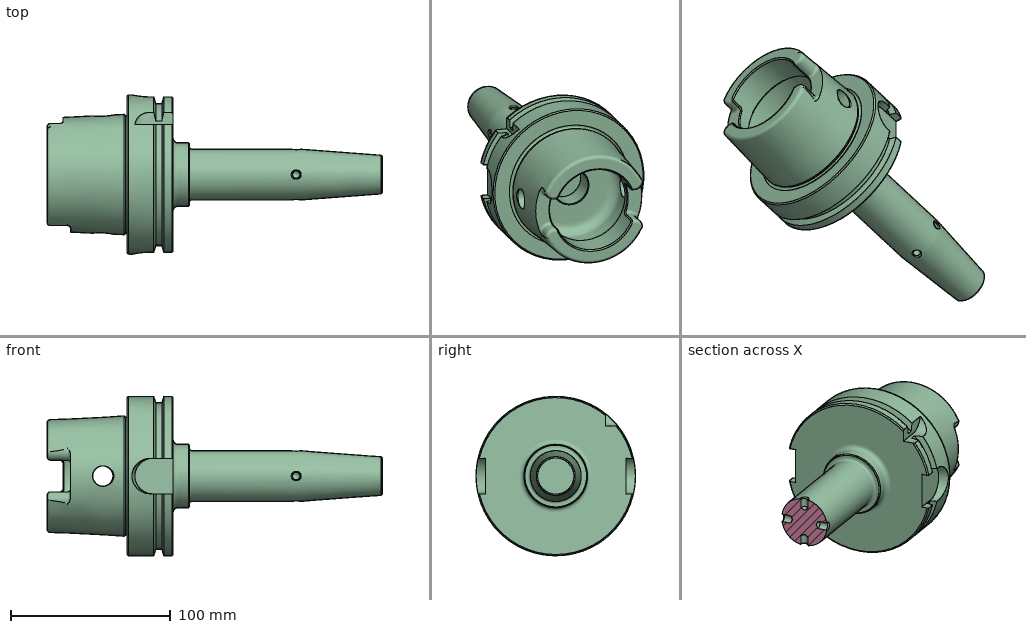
import cadquery as cq
import math


total_length = 210.0
flange_start = 50.0
flange_end = 79.0
neck_end = 89.0
nose_start = 159.0
cavity_depth = 45.8

end_round = 2.0
taper_end = 48.3
taper_large_radius = 37.8
taper_slope = 0.05
taper_small_radius = taper_large_radius - taper_slope * (taper_end - end_round)
relief_radius = 37.0
recess_radius = 39.5
recess_depth = 0.8

flange_radius = 50.0
flange_chamfer = 0.8
groove_radius = 46.0
groove_start = 66.8
groove_end = 73.0
groove_wall_run = 1.3

neck_radius = 20.0
neck_fillet = 3.0
neck_chamfer = 0.6
shank_radius = 16.0
shank_fillet = 1.7
tip_radius = 12.2
tip_chamfer = 0.8

mouth_radius = 26.5
mouth_chamfer = 0.8
mouth_length = 19.1
clamp_groove_radius = 31.0
clamp_shoulder_angle = 60
cavity_fillet = 6.5
coolant_bore_radius = 11.3
coolant_bore_chamfer = 0.5
coolant_bore_depth = 14.7

drive_slot_width = 19.7
drive_slot_depth_front = 14.7
drive_slot_depth_back = 9.9
drive_slot_corner = 5.2
drive_slot_floor_fillet = 1.9
drive_slot_bevel = 0.6
drive_slot_reach = 6.3

cross_hole_x = 34.9
cross_hole_radius = 6.3

key_slot_width = 22.3
key_slot_floor = 44.0
key_slot_floor_start = 55.0
key_slot_lean = 1.9

notch_floor = 31.3
notch_floor_start = 64.7
notch_end_radius = 10.0

screw_hole_x = 156.0
screw_hole_count = 4
screw_hole_radius = 2.3
screw_sink_radius = 3.2
screw_sink_depth = 0.8
screw_hole_depth = 6.3
drill_point_depth = 1.3

overcut = 2.0
pick_margin = 0.2


def arc_middle(start_angle, end_angle, center, radius):
    """Point halfway along an arc, angles in degrees."""
    angle = math.radians((start_angle + end_angle) / 2)
    return (center[0] + radius * math.cos(angle), center[1] + radius * math.sin(angle))


def turn(profile):
    """Close a half profile drawn in X and radius and revolve it about the X axis."""
    return profile.close().revolve(360, (0, 0, 0), (1, 0, 0))


def turned_body():
    relief_end = (flange_start, relief_radius)
    recess_middle = (flange_start + recess_depth, (relief_radius + recess_radius) / 2)
    neck_center = (flange_end + neck_fillet, neck_radius + neck_fillet)
    shank_center = (neck_end + shank_fillet, shank_radius + shank_fillet)
    return turn(
        cq.Workplane("XY")
        .moveTo(end_round, 0)
        .lineTo(end_round, taper_small_radius)
        .lineTo(taper_end, taper_large_radius)
        .lineTo(taper_end + (taper_large_radius - relief_radius), relief_radius)
        .lineTo(*relief_end)
        .threePointArc(recess_middle, (flange_start, recess_radius))
        .lineTo(flange_start, flange_radius - flange_chamfer)
        .lineTo(flange_start + flange_chamfer, flange_radius)
        .lineTo(groove_start, flange_radius)
        .lineTo(groove_start + groove_wall_run, groove_radius)
        .lineTo(groove_end - groove_wall_run, groove_radius)
        .lineTo(groove_end, flange_radius)
        .lineTo(flange_end - flange_chamfer, flange_radius)
        .lineTo(flange_end, flange_radius - flange_chamfer)
        .lineTo(flange_end, neck_center[1])
        .threePointArc(arc_middle(180, 270, neck_center, neck_fillet), (neck_center[0], neck_radius))
        .lineTo(neck_end - neck_chamfer, neck_radius)
        .lineTo(neck_end, neck_radius - neck_chamfer)
        .lineTo(neck_end, shank_center[1])
        .threePointArc(arc_middle(180, 270, shank_center, shank_fillet), (shank_center[0], shank_radius))
        .lineTo(nose_start, shank_radius)
        .lineTo(total_length - tip_chamfer, tip_radius)
        .lineTo(total_length, tip_radius - tip_chamfer)
        .lineTo(total_length, 0)
    )


def cavity():
    fillet_center = (cavity_depth - cavity_fillet, clamp_groove_radius - cavity_fillet)
    shoulder_run = (clamp_groove_radius - mouth_radius) / math.tan(math.radians(clamp_shoulder_angle))
    return turn(
        cq.Workplane("XY")
        .moveTo(0, 0)
        .lineTo(0, mouth_radius + mouth_chamfer)
        .lineTo(mouth_chamfer, mouth_radius)
        .lineTo(mouth_length, mouth_radius)
        .lineTo(mouth_length + shoulder_run, clamp_groove_radius)
        .lineTo(fillet_center[0], clamp_groove_radius)
        .threePointArc(arc_middle(0, 90, fillet_center, cavity_fillet), (cavity_depth, fillet_center[1]))
        .lineTo(cavity_depth, coolant_bore_radius + coolant_bore_chamfer)
        .lineTo(cavity_depth + coolant_bore_chamfer, coolant_bore_radius)
        .lineTo(cavity_depth + coolant_bore_depth, coolant_bore_radius)
        .lineTo(cavity_depth + coolant_bore_depth, 0)
    )


slot_wall_z = drive_slot_width / 2
corner_reach_x = drive_slot_depth_front - drive_slot_floor_fillet
corner_reach_radius = taper_small_radius + taper_slope * (corner_reach_x - end_round)
corner_z = slot_wall_z + drive_slot_corner
corner_y = math.sqrt((corner_reach_radius - drive_slot_corner) ** 2 - corner_z**2)
corner_angle = math.atan2(corner_z, corner_y)
touch_y = corner_reach_radius * math.cos(corner_angle)
touch_z = corner_reach_radius * math.sin(corner_angle)
corner_mid_y, corner_mid_z = arc_middle(
    -90, math.degrees(corner_angle), (corner_y, corner_z), drive_slot_corner
)


def drive_slot(side, depth):
    """Slot whose walls round over and then run out tangent to the taper."""
    tip_y = touch_y - drive_slot_reach * math.sin(corner_angle)
    tip_z = touch_z + drive_slot_reach * math.cos(corner_angle)
    cutter = (
        cq.Workplane("YZ")
        .moveTo(0, -slot_wall_z)
        .lineTo(corner_y, -slot_wall_z)
        .threePointArc((corner_mid_y, -corner_mid_z), (touch_y, -touch_z))
        .lineTo(tip_y, -tip_z)
        .lineTo(flange_radius, -tip_z)
        .lineTo(flange_radius, tip_z)
        .lineTo(tip_y, tip_z)
        .lineTo(touch_y, touch_z)
        .threePointArc((corner_mid_y, corner_mid_z), (corner_y, slot_wall_z))
        .lineTo(0, slot_wall_z)
        .close()
        .extrude(depth)
    )
    end_edges = cutter.faces(">X").edges("not(<Y or >Y)")
    cutter = end_edges.fillet(drive_slot_floor_fillet)
    if side < 0:
        cutter = cutter.mirror("XZ")
    return cutter


def lug_tips(slots):
    """Tips of the two lugs between the drive slots, with their end outlines rounded."""
    disk = cq.Workplane("YZ").circle(taper_small_radius).extrude(2 * end_round)
    for slot in slots:
        disk = disk.cut(slot)
    return [disk.solids(end).faces("<X").edges().fillet(end_round) for end in (">Z", "<Z")]


def bevel_slot_floor(body, side, depth):
    """Break the edge between a drive slot floor and the bore."""
    edge_y = side * mouth_radius
    floor_edge = cq.selectors.BoxSelector(
        (depth - pick_margin, edge_y - drive_slot_corner, -slot_wall_z),
        (depth + pick_margin, edge_y + drive_slot_corner, slot_wall_z),
    )
    return body.edges(floor_edge).chamfer(drive_slot_bevel)


def cross_hole():
    """Hole along Y; its countersinks just touch the taper on the open-end side of the hole."""
    hole_edge_x = cross_hole_x - cross_hole_radius
    sink_start = taper_small_radius + taper_slope * (hole_edge_x - end_round)
    half_profile = (
        cq.Workplane("XY", origin=(cross_hole_x, 0, 0))
        .moveTo(0, 0)
        .lineTo(cross_hole_radius, 0)
        .lineTo(cross_hole_radius, sink_start)
        .lineTo(cross_hole_radius + overcut, sink_start + overcut)
        .lineTo(0, sink_start + overcut)
        .close()
    )
    half = half_profile.revolve(360, (0, 0, 0), (0, 1, 0))
    return half.union(half.mirror("XZ"))


def key_slot(side):
    """Round-ended slot open toward the nose, with a flat floor and a leaning end wall."""
    half_width = key_slot_width / 2
    center_x = key_slot_floor_start + half_width
    open_x = flange_end + overcut
    rise = flange_radius - key_slot_floor
    outline = (
        cq.Workplane("XZ", origin=(0, side * key_slot_floor, 0))
        .moveTo(open_x, -half_width)
        .lineTo(center_x, -half_width)
        .threePointArc((key_slot_floor_start, 0), (center_x, half_width))
        .lineTo(open_x, half_width)
        .close()
    )
    sweep = cq.Vector(-key_slot_lean, side * rise, 0)
    return cq.Workplane(cq.Solid.extrudeLinear(outline.val(), [], sweep))


def orientation_notch():
    """Corner cut on the +Y +Z side of the rim, with a milled round run-out."""
    center_z = notch_floor + notch_end_radius
    return (
        cq.Workplane("XZ", origin=(0, notch_floor, 0))
        .moveTo(flange_end, notch_floor)
        .lineTo(notch_floor_start, notch_floor)
        .threePointArc(
            arc_middle(180, 270, (notch_floor_start, center_z), notch_end_radius),
            (notch_floor_start - notch_end_radius, center_z),
        )
        .lineTo(flange_end, center_z)
        .close()
        .extrude(-flange_radius)
    )


def screw_hole():
    """Countersunk blind hole with a drill point, entering from +Z."""
    bottom = shank_radius - screw_hole_depth
    return (
        cq.Workplane("XZ", origin=(screw_hole_x, 0, 0))
        .moveTo(0, bottom - drill_point_depth)
        .lineTo(screw_hole_radius, bottom)
        .lineTo(screw_hole_radius, shank_radius - screw_sink_depth)
        .lineTo(screw_sink_radius, shank_radius)
        .lineTo(screw_sink_radius, shank_radius + overcut)
        .lineTo(0, shank_radius + overcut)
        .close()
        .revolve(360, (0, 0, 0), (0, 1, 0))
    )


drive_slots = [drive_slot(-1, drive_slot_depth_front), drive_slot(1, drive_slot_depth_back)]
result = turned_body()
for slot in drive_slots:
    result = result.cut(slot)
for tip in lug_tips(drive_slots):
    result = result.union(tip)
result = result.cut(cavity())
for side, depth in ((-1, drive_slot_depth_front), (1, drive_slot_depth_back)):
    result = bevel_slot_floor(result, side, depth)
result = result.cut(cross_hole())
for side in (-1, 1):
    result = result.cut(key_slot(side))
result = result.cut(orientation_notch())
for index in range(screw_hole_count):
    angle = index * 360 / screw_hole_count
    result = result.cut(screw_hole().rotate((0, 0, 0), (1, 0, 0), angle))